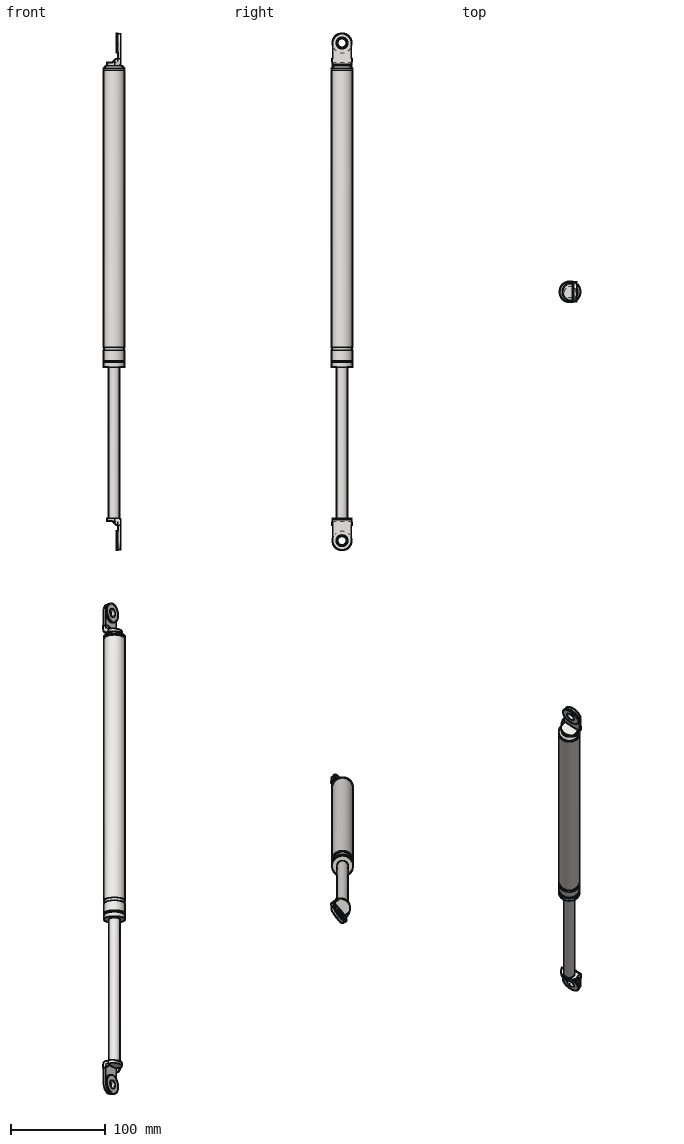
import cadquery as cq
import math

total_length = 546.0

tube_radius = 11.25
tube_length = 318.3
top_bevel = 3.0
seam_width = 1.8
seam_depth = 0.3
top_seam_depth = 4.0
bottom_seam_height = 5.7
crimp_width = 3.3
crimp_depth = 0.7
crimp_height = 19.2

rod_radius = 6.0

bracket_thickness = 3.2
base_radius = 10.6
base_back = -7.5
plate_left = 4.1
gusset_start = -2.0
gusset_top = 9.0
gusset_width = 1.7
heel_size = 1.5
shoulder_height = 7.4
eye_radius = 9.8
eye_height = 23.8
bevel_start = 1.0
bevel_width = 1.0
bevel_height = 4.2

flange_radius = 10.3
flange_thickness = 1.9
sleeve_radius = 6.0
bushing_bore_radius = 4.6

end_reach = eye_height + flange_radius
tube_top = total_length / 2 - end_reach
tube_bottom = tube_top - tube_length
rod_bottom = -total_length / 2 + end_reach
plate_right = plate_left + bracket_thickness
eye_top = eye_height + eye_radius
base_center = base_back + base_radius
flange_face = plate_left - flange_thickness


def seam_groove(middle):
    """Ring that cuts a narrow square groove round the tube."""
    return (
        cq.Workplane("XY", origin=(0, 0, middle - seam_width / 2))
        .circle(tube_radius)
        .circle(tube_radius - seam_depth)
        .extrude(seam_width)
    )


def crimp_groove(middle):
    """Ring with an arc section that cuts the rolled band."""
    return (
        cq.Workplane("XZ")
        .moveTo(tube_radius, middle - crimp_width / 2)
        .threePointArc((tube_radius - crimp_depth, middle), (tube_radius, middle + crimp_width / 2))
        .close()
        .revolve(360, (0, 0, 0), (0, 1, 0))
    )


def make_tube():
    """Tube with a bevelled upper end, a rolled band and a narrow groove near each end."""
    tube = cq.Workplane("XY", origin=(0, 0, tube_bottom)).circle(tube_radius).extrude(tube_length)
    tube = tube.faces(">Z").edges().chamfer(top_bevel)
    tube = tube.cut(seam_groove(tube_top - top_seam_depth))
    tube = tube.cut(seam_groove(tube_bottom + bottom_seam_height))
    return tube.cut(crimp_groove(tube_bottom + crimp_height))


def make_rod():
    """Plain rod between the tube's lower face and the lower bracket."""
    rod_length = tube_bottom - rod_bottom
    return cq.Workplane("XY", origin=(0, 0, rod_bottom)).circle(rod_radius).extrude(rod_length)


def eye_disc(start, length, radius):
    """Disc on the eye axis, from X = start towards +X."""
    return cq.Workplane("YZ", origin=(start, 0, eye_height)).circle(radius).extrude(length)


def side_profile():
    """Bracket seen along Y, with the gusset slope between base and plate."""
    return (
        cq.Workplane("XZ")
        .moveTo(base_back, 0)
        .lineTo(plate_right - heel_size, 0)
        .lineTo(plate_right, heel_size)
        .lineTo(plate_right, eye_top)
        .lineTo(plate_left, eye_top)
        .lineTo(plate_left, gusset_top)
        .lineTo(gusset_start, bracket_thickness)
        .lineTo(base_back, bracket_thickness)
        .close()
        .extrude(base_radius, both=True)
    )


def face_outline():
    """Bracket seen along X: wide foot, hollow-rounded shoulders, narrower plate and round eye."""
    step = base_radius - eye_radius
    arc_inset = step * math.sqrt(0.5)
    shoulder_end = shoulder_height + step
    arc_middle_y = base_radius - arc_inset
    arc_middle_z = shoulder_end - arc_inset
    return (
        cq.Workplane("YZ", origin=(base_back, 0, 0))
        .moveTo(-base_radius, 0)
        .lineTo(base_radius, 0)
        .lineTo(base_radius, shoulder_height)
        .threePointArc((arc_middle_y, arc_middle_z), (eye_radius, shoulder_end))
        .lineTo(eye_radius, eye_height)
        .threePointArc((0, eye_top), (-eye_radius, eye_height))
        .lineTo(-eye_radius, shoulder_end)
        .threePointArc((-arc_middle_y, arc_middle_z), (-base_radius, shoulder_height))
        .close()
        .extrude(plate_right - base_back)
    )


def plan_outline():
    """Bracket seen along Z: half-round base with straight sides towards the plate."""
    return (
        cq.Workplane("XY")
        .moveTo(base_center, base_radius)
        .threePointArc((base_back, 0), (base_center, -base_radius))
        .lineTo(plate_right, -base_radius)
        .lineTo(plate_right, base_radius)
        .close()
        .extrude(eye_top)
    )


def gusset_gap():
    """Space between the two gussets, with sides that lean outward."""
    foot = base_radius - gusset_width
    return (
        cq.Workplane("YZ", origin=(base_back, 0, 0))
        .moveTo(-foot, bracket_thickness)
        .lineTo(foot, bracket_thickness)
        .lineTo(base_radius, shoulder_height)
        .lineTo(base_radius, eye_top)
        .lineTo(-base_radius, eye_top)
        .lineTo(-base_radius, shoulder_height)
        .close()
        .extrude(plate_left - base_back)
    )


def bend_bevel(side):
    """Wedge that bevels the underside of the bend on one side."""
    return (
        cq.Workplane("YZ", origin=(bevel_start, 0, 0))
        .moveTo(side * (base_radius - bevel_width), 0)
        .lineTo(side * base_radius, 0)
        .lineTo(side * base_radius, bevel_height)
        .close()
        .extrude(plate_right - bevel_start)
    )


def make_bracket():
    """Bracket standing on Z = 0 with its eye at the top."""
    bracket = side_profile().intersect(face_outline()).intersect(plan_outline())
    bracket = bracket.cut(gusset_gap())
    for side in (-1, 1):
        bracket = bracket.cut(bend_bevel(side))
    return bracket.cut(eye_disc(plate_left, bracket_thickness, sleeve_radius))


def make_bushing():
    """Bushing in the bracket eye, with a flange on one face of the plate."""
    flange = eye_disc(flange_face, flange_thickness, flange_radius)
    sleeve = eye_disc(plate_left, bracket_thickness, sleeve_radius)
    bore = eye_disc(flange_face, flange_thickness + bracket_thickness, bushing_bore_radius)
    return flange.union(sleeve).cut(bore)


def at_top(body):
    return body.translate((0, 0, tube_top))


def at_bottom(body):
    return body.mirror("XY").translate((0, 0, rod_bottom))


tube = make_tube()
rod = make_rod()
brackets = [place(make_bracket()) for place in (at_top, at_bottom)]
bushings = [place(make_bushing()) for place in (at_top, at_bottom)]

result = cq.Compound.makeCompound(
    [body.val() for body in (tube, rod, *brackets, *bushings)]
)